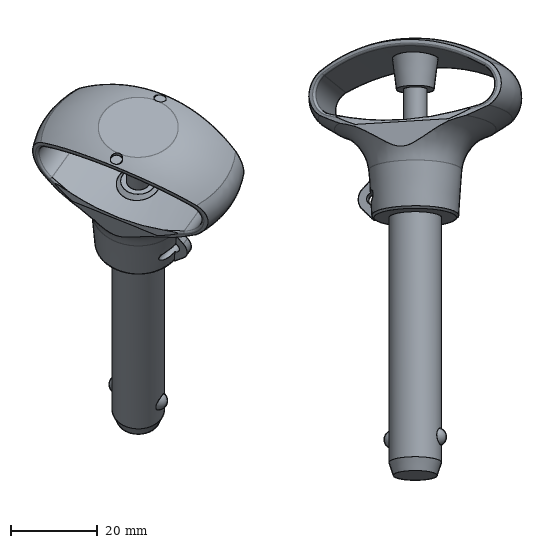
import cadquery as cq
import math

total_height = 101.1
tip_height = 3.0
collar_bottom = 60.9
collar_top = 72.0

pin_radius = 6.1
tip_radius = 5.1
ball_radius = 2.1
ball_height = 8.8
ball_offset = 5.3

collar_bottom_radius = 10.0
collar_top_radius = 10.7
collar_chamfer = 0.5

handle_length = 49.0
handle_width = 24.8
handle_radius = handle_length / 2
handle_mid_height = 89.0
dome_flat_radius = 9.2
dome_mid = (16.9, 98.1)
dome_end = (22.4, 94.3)
rim_end = (22.3, 84.1)
flare_start = (18.6, 81.7)
flare_mid = (13.2, 78.0)
side_half_width = handle_width / 2
end_half_width = 8.6
end_distance = 23.2
neck_half_width = 11.5
neck_flat_top = 81.0
bevel_inset = 2.1

window_roof = 98.8
window_floor = 81.5
window_half_length = 21.3
roof_corner = (19.1, 93.5)
floor_corner = (17.3, 84.1)
window_edge_round = 0.5

button_top_radius = 5.4
button_bottom_radius = 4.3
button_bottom = 91.1
button_embed = 0.5
spindle_radius = 2.7
seat_radius = 5.3
seat_top_radius = 4.0
seat_top = 82.4

dimple_radius = 1.4
dimple_offset = 10.5
dimple_floor = 100.3

lug_center = (9.9, 65.7)
lug_radius = 3.4
lug_hole_radius = 1.4
lug_thickness = 2.0
lug_root = 5.1
lug_shoulder = 2.3


def make_cone(bottom_radius, top_radius, bottom, top):
    return cq.Workplane(obj=cq.Solid.makeCone(
        bottom_radius, top_radius, top - bottom, pnt=cq.Vector(0, 0, bottom)))


def make_window():
    return (
        cq.Workplane("XZ")
        .moveTo(-roof_corner[0], roof_corner[1])
        .threePointArc((0, window_roof), roof_corner)
        .threePointArc((window_half_length, handle_mid_height), floor_corner)
        .threePointArc((0, window_floor), (-floor_corner[0], floor_corner[1]))
        .threePointArc((-window_half_length, handle_mid_height), (-roof_corner[0], roof_corner[1]))
        .close()
        .extrude(handle_radius, both=True)
    )


def make_handle():
    turned = (
        cq.Workplane("XZ")
        .moveTo(0, collar_bottom)
        .lineTo(collar_bottom_radius - collar_chamfer, collar_bottom)
        .lineTo(collar_bottom_radius, collar_bottom + collar_chamfer)
        .lineTo(collar_top_radius, collar_top)
        .threePointArc(flare_mid, flare_start)
        .lineTo(*rim_end)
        .threePointArc((handle_radius, handle_mid_height), dome_end)
        .threePointArc(dome_mid, (dome_flat_radius, total_height))
        .lineTo(0, total_height)
        .close()
        .revolve(360, (0, 0, 0), (0, 1, 0))
        .rotate((0, 0, 0), (0, 0, 1), 90)
    )
    box_half_length = handle_radius + 1
    bowed_sides = (
        cq.Workplane("XY")
        .moveTo(-end_distance, -end_half_width)
        .threePointArc((0, -side_half_width), (end_distance, -end_half_width))
        .lineTo(box_half_length, -end_half_width)
        .lineTo(box_half_length, end_half_width)
        .lineTo(end_distance, end_half_width)
        .threePointArc((0, side_half_width), (-end_distance, end_half_width))
        .lineTo(-box_half_length, end_half_width)
        .lineTo(-box_half_length, -end_half_width)
        .close()
        .extrude(total_height)
    )
    handle = turned.intersect(bowed_sides).cut(make_window())
    return round_window_edges(handle)


def round_window_edges(handle):
    """Round the rims where the finger window breaks through the bowed sides."""
    rims = [
        edge
        for face in handle.faces().vals()
        for rim in face.innerWires()
        for edge in rim.Edges()
    ]
    return handle.newObject(rims).fillet(window_edge_round)


def trim_neck(handle):
    """Flatten both sides of the neck and bevel them up to the corners of the window floor."""
    bevel_half_width = side_half_width - bevel_inset
    envelope = (
        cq.Workplane("YZ")
        .moveTo(-neck_half_width, 0)
        .lineTo(neck_half_width, 0)
        .lineTo(neck_half_width, neck_flat_top)
        .lineTo(bevel_half_width, floor_corner[1])
        .lineTo(handle_radius, floor_corner[1])
        .lineTo(handle_radius, total_height)
        .lineTo(-handle_radius, total_height)
        .lineTo(-handle_radius, floor_corner[1])
        .lineTo(-bevel_half_width, floor_corner[1])
        .lineTo(-neck_half_width, neck_flat_top)
        .close()
        .extrude(handle_radius + 1, both=True)
    )
    return handle.intersect(envelope)


def cut_dimples(handle):
    dimples = (
        cq.Workplane("XY")
        .workplane(offset=dimple_floor)
        .pushPoints([(0, -dimple_offset), (0, dimple_offset)])
        .circle(dimple_radius)
        .extrude(total_height - dimple_floor)
    )
    return handle.cut(dimples)


def make_button():
    button_top = window_roof + button_embed
    spindle = (
        cq.Workplane("XY")
        .workplane(offset=collar_top)
        .circle(spindle_radius)
        .extrude(window_roof - collar_top)
    )
    head = make_cone(button_bottom_radius, button_top_radius, button_bottom, button_top)
    seat = make_cone(seat_radius, seat_top_radius, window_floor, seat_top)
    return spindle.union(head).union(seat)


def make_pin():
    pin = (
        cq.Workplane("XY")
        .workplane(offset=tip_height)
        .circle(pin_radius)
        .extrude(collar_top - tip_height)
    )
    pin = pin.union(make_cone(tip_radius, pin_radius, 0, tip_height))
    for side in (-1, 1):
        ball = cq.Workplane("XY").sphere(ball_radius)
        pin = pin.union(ball.translate((side * ball_offset, 0, ball_height)))
    return pin


def make_lug():
    x, z = lug_center
    corner = lug_radius * math.sqrt(0.5)
    shoulder = corner + lug_shoulder
    shoulder_x = x + corner - lug_shoulder
    return (
        cq.Workplane("XZ")
        .moveTo(lug_root, z - shoulder)
        .lineTo(lug_root, z + shoulder)
        .lineTo(shoulder_x, z + shoulder)
        .lineTo(x + corner, z + corner)
        .threePointArc((x + lug_radius, z), (x + corner, z - corner))
        .lineTo(shoulder_x, z - shoulder)
        .close()
        .extrude(lug_thickness / 2, both=True)
    )


def make_lug_hole():
    return (
        cq.Workplane("XZ")
        .center(*lug_center)
        .circle(lug_hole_radius)
        .extrude(collar_top_radius, both=True)
    )


handle = cut_dimples(trim_neck(make_handle()))
result = (
    handle
    .union(make_button())
    .union(make_pin())
    .union(make_lug())
    .cut(make_lug_hole())
)